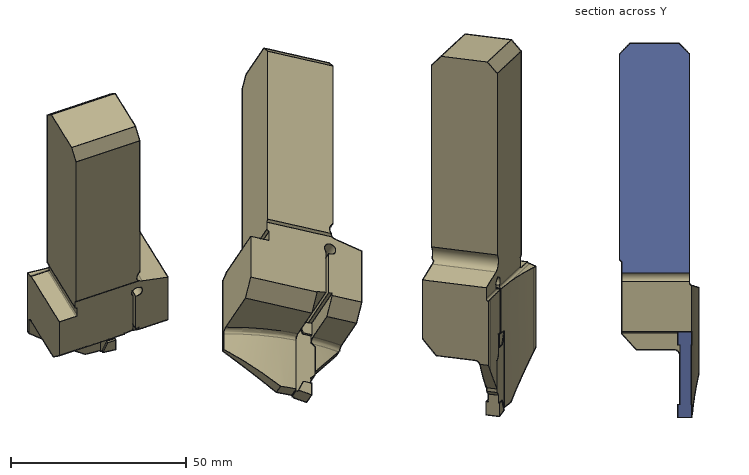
import cadquery as cq
import math


TOTAL_HEIGHT = 107.1
SHANK_WIDTH = 20.0
SHANK_CHAMFER_X = 3.0
SHANK_CHAMFER_Z = 3.1
RELIEF = 0.6
SIDE_RELIEF_TOP = 45.3
FRONT_RELIEF_TOP = 42.2
NECK_FILLET = 0.3

HEAD_FRONT = -4.9
HEAD_BACK = 29.1
HEAD_LEFT = -2.7
HEAD_RIGHT = SHANK_WIDTH - RELIEF
SHELF_Z = 38.5
HEAD_BOTTOM = 19.6
CORNER_CHAMFER_X = 4.2
CORNER_CHAMFER_Z = 4.6
LIP_TOP = 38.9
LIP_CORNER = (-0.7, 38.0)
LIP_BEND = (-0.2, 38.2)
LIP_OUTER_Z = 37.4
FRONT_EDGE_BOTTOM = 12.9
BLADE_FOOT_Y = 10.8
BLADE_BOTTOM = 1.23
JAW_TOP = 42.1
JAW_EDGE_BOTTOM = 18.6
JAW_TIP_Z = 8.8
NOTCH_TOP = 49.0
NOTCH_DEEPEST = (19.1, 47.0)
NOTCH_END = (21.0, 44.1)

OUTER_RADIUS = 154.2
OUTER_PEAK = (-0.4, 21.4)
INNER_RADIUS = 58.9
INNER_PEAK = (3.0, 18.2)
FRONT_FLAT_Y = -3.5
BACK_FLAT_Y = 27.2
ROOT_FILLET = 1.4

SLOT_FRONT = 18.1
SLOT_BACK = 19.0
SLOT_HOLE_Y = 19.4
SLOT_HOLE_Z = 40.3
SLOT_HOLE_RADIUS = 1.7

INSERT_HEIGHT = 25.1
INSERT_FRONT = 15.4
INSERT_RAKE_Y = SHANK_WIDTH
INSERT_BACK = 21.3
INSERT_CLEARANCE = 0.6
INSERT_RISE_START = 6.4
INSERT_RISE_END = 7.7
INSERT_LEFT = -0.4
INSERT_RIGHT = 2.8
TIP_LEFT = -0.6
TIP_RIGHT = 3.4
TIP_HEIGHT = 4.1
TIP_BEND_Y = 17.5
TIP_FRONT = 16.0

CUT_MARGIN = 1.1


def arc_x(radius, peak, y):
    """X of a blade arc at a given y."""
    peak_x, peak_y = peak
    return peak_x - radius + math.sqrt(radius**2 - (y - peak_y) ** 2)


def outer_x(y):
    return arc_x(OUTER_RADIUS, OUTER_PEAK, y)


def inner_x(y):
    return arc_x(INNER_RADIUS, INNER_PEAK, y)


def extrude_side(profile, left, right):
    """Extrude a closed YZ profile from x = left to x = right."""
    return profile.extrude(right - left).translate((left, 0, 0))


def outer_edge():
    """Open plan outline of the curved -X side, from the front to the back."""
    return (
        cq.Workplane("XY")
        .moveTo(HEAD_LEFT, HEAD_FRONT)
        .lineTo(outer_x(FRONT_FLAT_Y), FRONT_FLAT_Y)
        .threePointArc(OUTER_PEAK, (outer_x(BACK_FLAT_Y), BACK_FLAT_Y))
        .lineTo(outer_x(HEAD_BACK), HEAD_BACK)
    )


def make_blade_and_head():
    """Wide head over the thin curved blade, with a rounded root between them."""
    head = (
        outer_edge()
        .lineTo(HEAD_RIGHT, HEAD_BACK)
        .lineTo(HEAD_RIGHT, HEAD_FRONT)
        .close()
        .extrude(LIP_TOP - HEAD_BOTTOM)
        .translate((0, 0, HEAD_BOTTOM))
    )
    corner = (
        cq.Workplane("XZ", origin=(0, HEAD_BACK, 0))
        .moveTo(HEAD_RIGHT, HEAD_BOTTOM)
        .lineTo(HEAD_RIGHT, HEAD_BOTTOM + CORNER_CHAMFER_Z)
        .lineTo(HEAD_RIGHT - CORNER_CHAMFER_X, HEAD_BOTTOM)
        .close()
        .extrude(HEAD_BACK - HEAD_FRONT)
    )
    blade = (
        outer_edge()
        .lineTo(inner_x(HEAD_BACK), HEAD_BACK)
        .threePointArc(INNER_PEAK, (inner_x(HEAD_FRONT), HEAD_FRONT))
        .close()
        .extrude(HEAD_BOTTOM)
    )
    root_edge = cq.selectors.NearestToPointSelector((*INNER_PEAK, HEAD_BOTTOM))
    return head.cut(corner).union(blade).edges(root_edge).fillet(ROOT_FILLET)


def make_lip_limit():
    """Front profile that slopes the top of the head away from the shank."""
    return (
        cq.Workplane("XZ", origin=(0, HEAD_BACK, 0))
        .moveTo(HEAD_RIGHT, 0)
        .lineTo(HEAD_RIGHT, LIP_TOP)
        .lineTo(0, LIP_TOP)
        .threePointArc(LIP_BEND, LIP_CORNER)
        .lineTo(HEAD_LEFT, LIP_OUTER_Z)
        .lineTo(HEAD_LEFT, 0)
        .close()
        .extrude(HEAD_BACK - HEAD_FRONT)
    )


def make_shank():
    """Shank and neck bar with a chamfered top and a relieved +X side."""
    return (
        cq.Workplane("XZ", origin=(0, HEAD_BACK, 0))
        .moveTo(0, LIP_TOP)
        .lineTo(0, TOTAL_HEIGHT - SHANK_CHAMFER_Z)
        .lineTo(SHANK_CHAMFER_X, TOTAL_HEIGHT)
        .lineTo(SHANK_WIDTH - SHANK_CHAMFER_X, TOTAL_HEIGHT)
        .lineTo(SHANK_WIDTH, TOTAL_HEIGHT - SHANK_CHAMFER_Z)
        .lineTo(SHANK_WIDTH, SIDE_RELIEF_TOP)
        .lineTo(HEAD_RIGHT, SIDE_RELIEF_TOP - RELIEF)
        .lineTo(HEAD_RIGHT, LIP_TOP)
        .close()
        .extrude(HEAD_BACK - HEAD_FRONT)
    )


def make_side_limit():
    """Side profile of the whole holder: shank, neck, head, blade and jaw."""
    seat_y = (INSERT_FRONT + INSERT_RAKE_Y) / 2
    fillet_mid = NECK_FILLET * (1 - math.sqrt(0.5))
    profile = (
        cq.Workplane("YZ")
        .moveTo(0, TOTAL_HEIGHT)
        .lineTo(0, FRONT_RELIEF_TOP)
        .lineTo(RELIEF, FRONT_RELIEF_TOP - RELIEF)
        .lineTo(RELIEF, SHELF_Z + NECK_FILLET)
        .threePointArc(
            (RELIEF - fillet_mid, SHELF_Z + fillet_mid),
            (RELIEF - NECK_FILLET, SHELF_Z),
        )
        .lineTo(HEAD_FRONT, SHELF_Z)
        .lineTo(HEAD_FRONT, FRONT_EDGE_BOTTOM)
        .lineTo(BLADE_FOOT_Y, BLADE_BOTTOM)
        .lineTo(seat_y, BLADE_BOTTOM)
        .lineTo(seat_y, JAW_TIP_Z)
        .lineTo(INSERT_BACK, JAW_TIP_Z)
        .lineTo(HEAD_BACK, JAW_EDGE_BOTTOM)
        .lineTo(HEAD_BACK, JAW_TOP)
        .lineTo(*NOTCH_END)
        .threePointArc(NOTCH_DEEPEST, (SHANK_WIDTH, NOTCH_TOP))
        .lineTo(SHANK_WIDTH, TOTAL_HEIGHT)
        .close()
    )
    return extrude_side(profile, HEAD_LEFT, SHANK_WIDTH)


def make_clamp_slot():
    """Slot from the insert seat up to a round relief hole."""
    seat_z = INSERT_HEIGHT / 2
    slot = (
        cq.Workplane("YZ")
        .moveTo(SLOT_FRONT, seat_z)
        .lineTo(SLOT_BACK, seat_z)
        .lineTo(SLOT_BACK, SLOT_HOLE_Z)
        .lineTo(SLOT_FRONT, SLOT_HOLE_Z)
        .close()
    )
    hole = cq.Workplane("YZ").center(SLOT_HOLE_Y, SLOT_HOLE_Z).circle(SLOT_HOLE_RADIUS)
    left = HEAD_LEFT - CUT_MARGIN
    right = SHANK_WIDTH + CUT_MARGIN
    return extrude_side(slot, left, right).union(extrude_side(hole, left, right))


def make_insert_prism(left, right):
    """Insert outline extruded across x; also the shape of its seat."""
    profile = (
        cq.Workplane("YZ")
        .moveTo(INSERT_FRONT, INSERT_CLEARANCE)
        .lineTo(INSERT_RAKE_Y, 0)
        .lineTo(INSERT_RAKE_Y, INSERT_RISE_START)
        .lineTo(INSERT_BACK, INSERT_RISE_END)
        .lineTo(INSERT_BACK, INSERT_HEIGHT - INSERT_RISE_END)
        .lineTo(INSERT_RAKE_Y, INSERT_HEIGHT - INSERT_RISE_START)
        .lineTo(INSERT_RAKE_Y, INSERT_HEIGHT)
        .lineTo(INSERT_FRONT, INSERT_HEIGHT - INSERT_CLEARANCE)
        .close()
    )
    return extrude_side(profile, left, right)


def make_lower_tip():
    """Wider cutting tip at the lower end of the insert."""
    slope = INSERT_CLEARANCE / (INSERT_RAKE_Y - INSERT_FRONT)
    front_z = slope * (INSERT_RAKE_Y - TIP_FRONT)
    profile = (
        cq.Workplane("YZ")
        .moveTo(INSERT_RAKE_Y, 0)
        .lineTo(INSERT_RAKE_Y, TIP_HEIGHT)
        .lineTo(TIP_BEND_Y, TIP_HEIGHT)
        .lineTo(TIP_FRONT, front_z)
        .close()
    )
    return extrude_side(profile, TIP_LEFT, TIP_RIGHT)


def make_holder():
    head = make_blade_and_head().intersect(make_lip_limit())
    holder = head.union(make_shank()).intersect(make_side_limit())
    seat = make_insert_prism(HEAD_LEFT - CUT_MARGIN, SHANK_WIDTH + CUT_MARGIN)
    return holder.cut(make_clamp_slot()).cut(seat)


def make_insert():
    lower_tip = make_lower_tip()
    upper_tip = lower_tip.mirror("XY", (0, 0, INSERT_HEIGHT / 2))
    return make_insert_prism(INSERT_LEFT, INSERT_RIGHT).union(lower_tip).union(upper_tip)


holder = make_holder()
insert = make_insert()
result = cq.Compound.makeCompound([holder.solids().val(), insert.solids().val()])